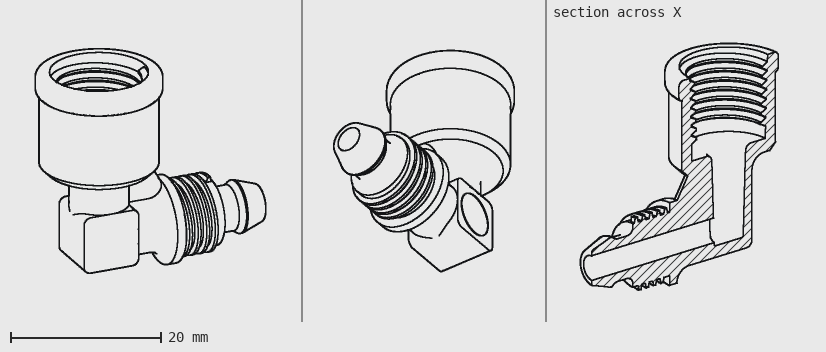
import cadquery as cq
import math


overall_length = 31.8
overall_height = 29.0
rim_diameter = 17.0
flange_diameter = 12.0
rim_radius = rim_diameter / 2
flange_radius = flange_diameter / 2

block_half = 4.0
block_edge_radius = 1.0
recess_radius = 3.02
recess_depth = 0.1

cup_top = overall_height - flange_radius
rim_height = 3.0
rim_top_round = 0.8
rim_bottom_round = 0.7
cup_diameter = 16.0
cup_radius = cup_diameter / 2
cup_bottom = 9.0
cup_chamfer = 1.0
neck_radius = block_half
neck_fillet = flange_radius - neck_radius

bore_floor = 11.0
bore_mouth_radius = 6.58
bore_taper = 1 / 32
cup_thread_pitch = 1.35
cup_thread_depth = 0.83
cup_thread_crest = 0.35
cup_thread_base = 1.27
cup_thread_turns = 7
cup_thread_start_depth = 1.02
throat_round = 1.0
throat_top_radius = 2.83
throat_bottom_radius = 2.45
throat_bottom_round = 0.2
throat_depth = 2.25
passage_radius = 1.75

flange_inner = 8.78
flange_outer = 10.08
core_radius = 4.6
core_end = 16.3
stem_radius = 3.12
stem_fillet = 1.0
stem_end = 19.08
barb_radius = 3.63
barb_shoulder = 19.9
barb_flat_end = 20.13
tip_radius = 2.55
tip_round = 0.3
spigot_end = overall_length - rim_radius

spigot_thread_turns = 4
spigot_thread_length = 5.0
spigot_thread_pitch = spigot_thread_length / spigot_thread_turns
spigot_thread_depth = 0.7
spigot_thread_crest = 0.4
spigot_thread_base = 0.75
spigot_thread_first = 10.72
spigot_thread_overrun = 8

rib_thickness = 2.0
rib_edge_radius = 0.8

no_taper = 360
root_overlap = 0.03

cup_frame = cq.Plane(origin=(0, 0, 0), xDir=(0, 1, 0), normal=(0, 0, 1))
spigot_frame = cq.Plane(origin=(0, 0, 0), xDir=(0, 0, 1), normal=(0, 1, 0))


def bore_radius(z):
    """Radius of the tapered cup bore at height z."""
    return bore_mouth_radius - bore_taper * (cup_top - z)


def helical_ridge(wall_radius, depth, base, crest, pitch, turns, start, taper_angle=no_taper):
    """Trapezoidal ridge wound right-handed up the Z axis; a negative depth points inwards."""
    path = cq.Wire.makeHelix(
        pitch, pitch * turns, wall_radius, center=cq.Vector(0, 0, start), angle=taper_angle
    )
    root = wall_radius - math.copysign(root_overlap, depth)
    tip = wall_radius + depth
    profile = cq.Workplane("XZ").polyline(
        [
            (root, start - base / 2),
            (tip, start - crest / 2),
            (tip, start + crest / 2),
            (root, start + base / 2),
        ]
    ).close()
    return profile.sweep(cq.Workplane(path), isFrenet=True).val()


def make_block():
    block = cq.Workplane("XY").box(2 * block_half, 2 * block_half, 2 * block_half)
    rounded_edges = "(|X and >Z) or (|X and <Z)"
    return block.edges(rounded_edges).fillet(block_edge_radius)


def make_cup():
    rim_bottom = cup_top - rim_height
    profile = (
        cq.Workplane("XZ")
        .lineTo(neck_radius, 0)
        .lineTo(neck_radius, cup_bottom - neck_fillet)
        .radiusArc((neck_radius + neck_fillet, cup_bottom), neck_fillet)
        .lineTo(cup_radius - cup_chamfer, cup_bottom)
        .lineTo(cup_radius, cup_bottom + cup_chamfer)
        .lineTo(cup_radius, rim_bottom)
        .lineTo(rim_radius - rim_bottom_round, rim_bottom)
        .radiusArc((rim_radius, rim_bottom + rim_bottom_round), -rim_bottom_round)
        .lineTo(rim_radius, cup_top - rim_top_round)
        .radiusArc((rim_radius - rim_top_round, cup_top), -rim_top_round)
        .lineTo(0, cup_top)
        .close()
    )
    return profile.revolve(360, (0, 0, 0), (0, 1, 0))


def make_spigot():
    profile = (
        cq.Workplane("XY")
        .lineTo(neck_radius, 0)
        .lineTo(neck_radius, flange_inner - neck_fillet)
        .radiusArc((flange_radius, flange_inner), neck_fillet)
        .lineTo(flange_radius, flange_outer)
        .lineTo(core_radius, flange_outer)
        .lineTo(core_radius, core_end)
        .lineTo(stem_radius + stem_fillet, core_end)
        .radiusArc((stem_radius, core_end + stem_fillet), stem_fillet)
        .lineTo(stem_radius, stem_end)
        .lineTo(barb_radius, barb_shoulder)
        .lineTo(barb_radius, barb_flat_end)
        .lineTo(tip_radius, spigot_end)
        .lineTo(0, spigot_end)
        .close()
    )
    spigot = profile.revolve(360, (0, 0, 0), (0, 1, 0))
    return spigot.faces(">Y").edges().fillet(tip_round)


def make_spigot_thread():
    overrun_turns = spigot_thread_overrun / 360
    ridge = helical_ridge(
        core_radius,
        spigot_thread_depth,
        spigot_thread_base,
        spigot_thread_crest,
        spigot_thread_pitch,
        spigot_thread_turns + 2 * overrun_turns,
        spigot_thread_first - overrun_turns * spigot_thread_pitch,
    )
    ridge = ridge.rotate(cq.Vector(0, 0, 0), cq.Vector(0, 0, 1), -spigot_thread_overrun)
    return ridge.moved(spigot_frame.location)


def make_rib():
    cup_corner = cup_radius - cup_chamfer
    rib = (
        cq.Workplane("YZ")
        .polyline(
            [
                (0, 0),
                (flange_inner, 0),
                (flange_inner, flange_radius),
                (cup_corner, cup_bottom),
                (0, cup_bottom),
            ]
        )
        .close()
        .extrude(rib_thickness / 2, both=True)
    )
    slope_middle = (0, (flange_inner + cup_corner) / 2, (flange_radius + cup_bottom) / 2)
    slope = rib.faces(cq.selectors.NearestToPointSelector(slope_middle))
    return slope.edges("not |X").fillet(rib_edge_radius)


def make_cup_bore():
    """Tapered bore, rounded throat and tapered blind hole down into the corner block."""
    throat_top = bore_floor - throat_round
    profile = (
        cq.Workplane("XZ")
        .moveTo(0, -throat_depth)
        .lineTo(throat_bottom_radius - throat_bottom_round, -throat_depth)
        .radiusArc((throat_bottom_radius, throat_bottom_round - throat_depth), -throat_bottom_round)
        .lineTo(throat_top_radius, throat_top)
        .radiusArc((throat_top_radius + throat_round, bore_floor), throat_round)
        .lineTo(bore_radius(bore_floor), bore_floor)
        .lineTo(bore_mouth_radius, cup_top)
        .lineTo(0, cup_top)
        .close()
    )
    return profile.revolve(360, (0, 0, 0), (0, 1, 0))


def make_cup_thread():
    thread_bottom = cup_top - cup_thread_start_depth - cup_thread_turns * cup_thread_pitch
    ridge = helical_ridge(
        bore_radius(thread_bottom),
        -cup_thread_depth,
        cup_thread_base,
        cup_thread_crest,
        cup_thread_pitch,
        cup_thread_turns,
        thread_bottom,
        math.degrees(math.atan(bore_taper)),
    )
    return ridge.moved(cup_frame.location)


def make_passage():
    return cq.Workplane("XZ").circle(passage_radius).extrude(-spigot_end)


def make_recess():
    return cq.Workplane("YZ", origin=(-block_half, 0, 0)).circle(recess_radius).extrude(recess_depth)


body = make_block().union(make_cup()).union(make_spigot()).union(make_rib())
body = body.union(make_spigot_thread())
body = body.cut(make_cup_bore()).cut(make_passage()).cut(make_recess())
result = body.union(make_cup_thread())